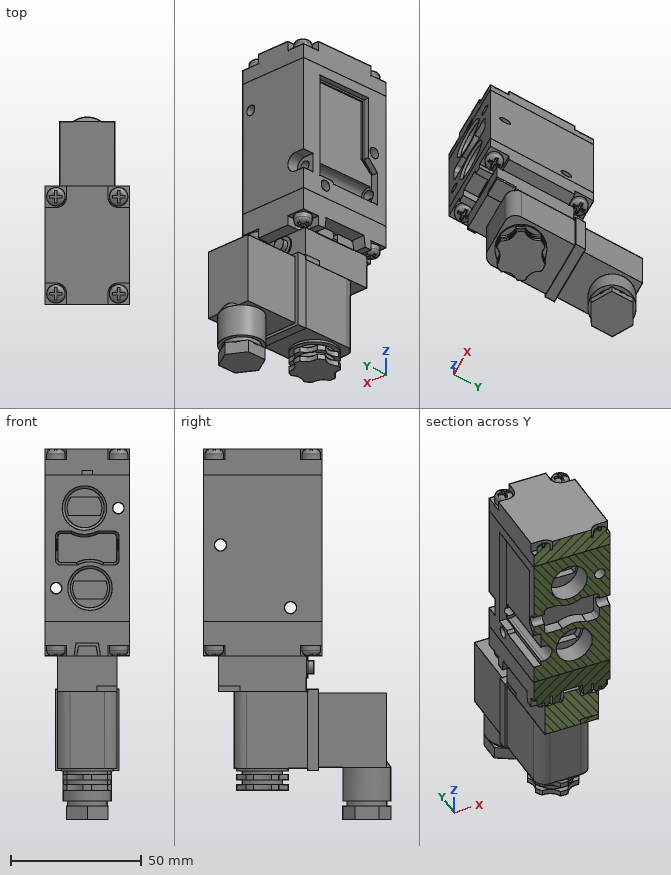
import cadquery as cq
import math


width = 32.5
depth = 45.5
top_z = 142.2
body_top_z = 132.2
body_bottom_z = 76.1
stack_bottom_z = 62.9
left_x = -width / 2

screw_inset_x = 4.3
screw_inset_y = 4.1
pocket_radius = 4.1
pocket_depth = 4.0
head_radius = 3.5
head_edge_radius = 2.0
recess_length = 4.8
recess_width = 1.0
recess_depth = 1.7

key_width = 4.1
key_height = 1.7
key_depth = 0.3

body_mid_z = (body_top_z + body_bottom_z) / 2
port_offset_x = 1.07
port_offset_z = 15.4
port_radius = 7.5
port_chamfer = 1.0
port_depth = 14.2
passage_radius = 6.7
passage_height = 7.0
passage_offset_z = 0.7
passage_depth = 2.8

window_width = 24.5
window_height = 13.1
window_depth = 10.2
window_corner_radius = 2.1
window_draft = 1.0
window_port_clearance = 10.1

pin_hole_radius = 2.1
pin_hole_x = 12.0
cross_hole_radius = 2.3
cross_holes = [(6.5, 105.4), (33.4, 81.3)]

label_depth = 2.5
label_step_depth = 0.5
label_step = 0.9
label_back_y = 36.4
label_front_y = 9.7
label_top_z = 128.0
label_foot_front_y = 4.8
label_bottom_z = 83.6
label_slope_top_z = 102.2
label_slope_bottom_z = 97.4
label_notch_y = 28.7
label_notch_height = 1.1

channel_radius = 3.4
channel_front_y = 5.7
channel_back_y = 35.5
rear_slot_radius = 4.0
rear_slot_y = 40.2

pilot_width = 22.9
pilot_front_y = 5.7
pilot_back_y = 39.5
pilot_bottom_z = 49.0
pilot_mid_y = (pilot_front_y + pilot_back_y) / 2
pilot_side_x = pilot_width / 2

tongue_height = 3.8
tongue_thickness = 2.1
tongue_taper = 0.7
tongue_setback = 0.3
front_tongue_width = 8.1
side_tongue_width = 20.2
notch_gap = 1.0
tongue_slot_width = 2.4
tongue_slot_depth = 2.8

override_z = 58.5
override_radius = 2.5
override_length = 2.8
override_washer_radius = 4.1
override_washer_thickness = 0.5

tab_length = 7.7
tab_thickness = 2.1
tab_height = 2.1

coil_width = 22.8
coil_front_y = 11.8
coil_back_y = 40.0
coil_bottom_z = 19.6
coil_corner_radius = 4.7
flange_width = 24.5
flange_thickness = 4.3
flange_bottom_z = 18.8
flange_top_z = 50.0
plug_width = 21.2
plug_back_y = 70.2
plug_bottom_z = 20.0
plug_top_z = 48.6

gland_radius = 9.2
gland_back_y = 72.0
gland_y = gland_back_y - gland_radius
gland_bottom_z = 7.1
gland_cone_height = 2.5
gland_neck_radius = 7.7
gland_nut_height = 5.1
gland_nut_flats = 16.0

coil_nut_y = 22.6
coil_nut_neck_radius = 7.8
coil_nut_radius = 10.0
coil_nut_hollow_radius = 8.1
coil_nut_lobe_width = 3.3
coil_nut_lobes = 6
coil_nut_bottom_z = 11.2
coil_nut_discs = 2
coil_nut_disc_thickness = 2.1
coil_nut_disc_spacing = 4.0
coil_nut_collar_height = 1.0


def block(x0, x1, y0, y1, z0, z1):
    """Box between two opposite corners."""
    return cq.Workplane("XY").box(x1 - x0, y1 - y0, z1 - z0, centered=False).translate((x0, y0, z0))


def cylinder_y(x, z, radius, y0, y1):
    """Cylinder along Y from y0 to y1."""
    return cq.Workplane("XZ", origin=(x, y0, z)).circle(radius).extrude(y0 - y1)


def cylinder_z(y, radius, z0, z1):
    """Cylinder along Z on the mid-plane."""
    return cq.Workplane("XY", origin=(0, y, z0)).circle(radius).extrude(z1 - z0)


def screw_head():
    """Round screw head standing on Z = 0, with a cross recess."""
    head = cq.Workplane("XY").circle(head_radius).extrude(pocket_depth)
    head = head.faces(">Z").edges().fillet(head_edge_radius)
    cross = cq.Workplane("XY").rect(recess_length, recess_width).extrude(recess_depth)
    cross = cross.union(cross.rotate((0, 0, 0), (0, 0, 1), 90))
    return head.cut(cross.translate((0, 0, pocket_depth - recess_depth)))


def corner_pocket():
    """Screw pocket on Z = 0: round towards the middle and open to the corner at -X, -Y."""
    open_x = block(-screw_inset_x, 0, -screw_inset_y, pocket_radius, 0, pocket_depth)
    open_y = block(-screw_inset_x, pocket_radius, -screw_inset_y, 0, 0, pocket_depth)
    return cq.Workplane("XY").circle(pocket_radius).extrude(pocket_depth).union(open_x).union(open_y)


def place_in_corner(shape, side_x, side_y):
    """Move a shape made for the front left corner to any corner of the stack."""
    if side_x > 0:
        shape = shape.mirror("YZ")
    if side_y > 0:
        shape = shape.mirror("XZ")
    x = side_x * (width / 2 - screw_inset_x)
    y = depth / 2 + side_y * (depth / 2 - screw_inset_y)
    return shape.translate((x, y, 0))


def add_corner_screws(cap, end_z, face_up):
    """Cut the four corner pockets into the outer end of a cap and stand a screw head in each."""
    pocket = corner_pocket()
    head = screw_head()
    if not face_up:
        pocket = pocket.mirror("XY")
        head = head.mirror("XY")
    floor_z = end_z - pocket_depth if face_up else end_z + pocket_depth
    for side_x in (-1, 1):
        for side_y in (-1, 1):
            cap = cap.cut(place_in_corner(pocket, side_x, side_y).translate((0, 0, floor_z)))
            cap = cap.union(place_in_corner(head, side_x, side_y).translate((0, 0, floor_z)))
    return cap


def make_top_cap():
    cap = block(left_x, -left_x, 0, depth, body_top_z, top_z)
    key_top_z = body_top_z + key_height
    cap = cap.cut(block(-key_width / 2, key_width / 2, 0, key_depth, body_top_z, key_top_z))
    return add_corner_screws(cap, top_z, True)


def trapezoid(plane, origin, bottom_width, height, thickness):
    """Upright tapered tongue standing on its origin, extruded along the plane's normal."""
    half_bottom = bottom_width / 2
    half_top = half_bottom - tongue_taper
    points = [(-half_bottom, 0), (half_bottom, 0), (half_top, height), (-half_top, height)]
    return cq.Workplane(plane, origin=origin).polyline(points).close().extrude(thickness)


def make_bottom_cap():
    cap = block(left_x, -left_x, 0, depth, stack_bottom_z, body_bottom_z)
    notch_height = tongue_height + notch_gap
    front_depth = pilot_front_y + tongue_setback + tongue_thickness
    side_depth = width / 2 - pilot_side_x + tongue_setback + tongue_thickness
    front_width = front_tongue_width + 2 * notch_gap
    side_width = side_tongue_width + 2 * notch_gap
    cap = cap.cut(trapezoid("XZ", (0, 0, stack_bottom_z), front_width, notch_height, -front_depth))
    side_origin = (left_x, pilot_mid_y, stack_bottom_z)
    cap = cap.cut(trapezoid("YZ", side_origin, side_width, notch_height, side_depth))
    return add_corner_screws(cap, stack_bottom_z, False)


def window():
    """Recess between the ports, waisted to keep clear of them, narrowing towards its floor."""
    outline = cq.Sketch().rect(window_width, window_height).vertices().fillet(window_corner_radius).reset()
    for side in (-1, 1):
        outline = outline.push([(-side * port_offset_x, side * port_offset_z)])
        outline = outline.circle(window_port_clearance, mode="s").reset()
    draft_angle = math.degrees(math.atan2(window_draft, window_depth))
    recess = cq.Workplane("XZ", origin=(0, 0, body_mid_z)).placeSketch(outline)
    return recess.extrude(-window_depth, taper=draft_angle)


def port(side):
    """Chamfered port with a flat passage in its floor; side is 1 for the upper and -1 for the lower port."""
    x = -side * port_offset_x
    z = body_mid_z + side * port_offset_z
    bore = cylinder_y(x, z, port_radius, 0, port_depth)
    rim_radius = port_radius + port_chamfer
    rim = cq.Workplane("XY").add(cq.Solid.makeCone(
        rim_radius, port_radius, port_chamfer, cq.Vector(x, 0, z), cq.Vector(0, 1, 0)
    ))
    passage_z = z + side * passage_offset_z
    passage_end = port_depth + passage_depth
    passage = block(
        x - passage_radius, x + passage_radius, port_depth, passage_end,
        passage_z - passage_height / 2, passage_z + passage_height / 2,
    )
    passage = passage.intersect(cylinder_y(x, z, passage_radius, port_depth, passage_end))
    return bore.union(rim).union(passage)


def label_outline(step):
    """Outline of the label recess in Y and Z, moved in by a step at its top and upper front."""
    notch_z = label_bottom_z + label_notch_height
    return [
        (label_back_y, label_top_z - step),
        (label_front_y + step, label_top_z - step),
        (label_front_y + step, label_slope_top_z),
        (label_foot_front_y, label_slope_bottom_z),
        (label_foot_front_y, label_bottom_z),
        (label_notch_y, label_bottom_z),
        (label_notch_y + label_notch_height, notch_z),
        (label_back_y, notch_z),
    ]


def label_recess():
    """Recess of the left face, wider at its foot, with a narrow step beside its floor."""
    recess = cq.Workplane("YZ", origin=(left_x, 0, 0)).polyline(label_outline(0)).close().extrude(label_depth)
    floor_depth = label_depth + label_step_depth
    floor = cq.Workplane("YZ", origin=(left_x, 0, 0)).polyline(label_outline(label_step)).close()
    return recess.union(floor.extrude(floor_depth))


def channel(radius, y0, y1):
    """U-shaped channel along Y from the left face to the axis of the left pin hole."""
    z = body_mid_z - port_offset_z
    sides = block(left_x, -pin_hole_x, y0, y1, z - radius, z + radius)
    return cylinder_y(-pin_hole_x, z, radius, y0, y1).union(sides)


def make_valve_body():
    body = block(left_x, -left_x, 0, depth, body_bottom_z, body_top_z)
    body = body.cut(window()).cut(label_recess())
    for side in (-1, 1):
        body = body.cut(port(side))
        hole_z = body_mid_z + side * port_offset_z
        body = body.cut(cylinder_y(side * pin_hole_x, hole_z, pin_hole_radius, 0, depth))
    for y, z in cross_holes:
        body = body.cut(cq.Workplane("YZ", origin=(left_x, y, z)).circle(cross_hole_radius).extrude(width))
    body = body.cut(channel(channel_radius, channel_front_y, channel_back_y))
    return body.cut(channel(rear_slot_radius, rear_slot_y, depth))


def coil_tabs():
    """Two tabs at the front right and rear left lower corners of the pilot block."""
    tab_top_z = pilot_bottom_z + tab_height
    front_tab = block(
        pilot_side_x - tab_length, pilot_side_x,
        pilot_front_y, coil_front_y + tab_thickness, pilot_bottom_z, tab_top_z,
    )
    rear_tab = block(
        -pilot_side_x, -pilot_side_x + tab_thickness,
        pilot_back_y - tab_length, pilot_back_y, pilot_bottom_z, tab_top_z,
    )
    return front_tab.union(rear_tab)


def make_pilot_block():
    pilot = block(-pilot_side_x, pilot_side_x, pilot_front_y, pilot_back_y, pilot_bottom_z, stack_bottom_z)
    front_origin = (0, pilot_front_y + tongue_setback, stack_bottom_z)
    side_origin = (-pilot_side_x + tongue_setback, pilot_mid_y, stack_bottom_z)
    pilot = pilot.union(trapezoid("XZ", front_origin, front_tongue_width, tongue_height, -tongue_thickness))
    pilot = pilot.union(trapezoid("YZ", side_origin, side_tongue_width, tongue_height, tongue_thickness))
    tongue_top_z = stack_bottom_z + tongue_height
    pilot = pilot.cut(block(
        -pilot_side_x, -pilot_side_x + tongue_setback + tongue_thickness,
        pilot_mid_y - tongue_slot_width / 2, pilot_mid_y + tongue_slot_width / 2,
        tongue_top_z - tongue_slot_depth, tongue_top_z,
    ))
    washer_y = pilot_back_y + override_washer_thickness
    pilot = pilot.union(cylinder_y(0, override_z, override_washer_radius, pilot_back_y, washer_y))
    override_y = pilot_back_y + override_length
    pilot = pilot.union(cylinder_y(0, override_z, override_radius, pilot_back_y, override_y))
    return pilot.cut(coil_tabs())


def lobed_disc():
    """Disc with lobes around it, one of them towards -Y, and hollow arcs between them."""
    pitch = 2 * math.pi / coil_nut_lobes
    half_lobe = math.asin(coil_nut_lobe_width / 2 / coil_nut_radius)

    def polar(radius, angle):
        return (radius * math.sin(angle), -radius * math.cos(angle))

    disc = cq.Workplane("XY").moveTo(*polar(coil_nut_radius, -half_lobe))
    for index in range(coil_nut_lobes):
        middle = index * pitch
        disc = disc.threePointArc(
            polar(coil_nut_radius, middle), polar(coil_nut_radius, middle + half_lobe)
        )
        disc = disc.threePointArc(
            polar(coil_nut_hollow_radius, middle + pitch / 2),
            polar(coil_nut_radius, middle + pitch - half_lobe),
        )
    return disc.close().extrude(coil_nut_disc_thickness)


def coil_nut():
    """Nut with two lobed discs on a neck and a plain collar against the coil."""
    collar_bottom_z = coil_bottom_z - coil_nut_collar_height
    nut = cylinder_z(coil_nut_y, coil_nut_neck_radius, coil_nut_bottom_z, coil_bottom_z)
    nut = nut.union(cylinder_z(coil_nut_y, coil_nut_radius, collar_bottom_z, coil_bottom_z))
    for index in range(coil_nut_discs):
        disc_z = coil_nut_bottom_z + index * coil_nut_disc_spacing
        nut = nut.union(lobed_disc().translate((0, coil_nut_y, disc_z)))
    return nut


def cable_gland():
    """Gland barrel with a conical shoulder, a neck and a hexagon nut with corners towards +Y and -Y."""
    barrel = cylinder_z(gland_y, gland_radius, gland_bottom_z, plug_bottom_z)
    shoulder = cq.Workplane("XY").add(cq.Solid.makeCone(
        gland_radius, plug_back_y - gland_y, gland_cone_height, cq.Vector(0, gland_y, plug_bottom_z)
    ))
    neck = cylinder_z(gland_y, gland_neck_radius, gland_nut_height, gland_bottom_z)
    nut_diameter = gland_nut_flats / math.cos(math.pi / 6)
    nut = cq.Workplane("XY").polygon(6, nut_diameter).extrude(gland_nut_height)
    nut = nut.rotate((0, 0, 0), (0, 0, 1), 90).translate((0, gland_y, 0))
    return barrel.union(shoulder).union(neck).union(nut)


def make_solenoid():
    coil = block(-coil_width / 2, coil_width / 2, coil_front_y, coil_back_y, coil_bottom_z, pilot_bottom_z)
    coil = coil.edges("|Z and <Y").fillet(coil_corner_radius)
    flange_back_y = coil_back_y + flange_thickness
    flange = block(
        -flange_width / 2, flange_width / 2, coil_back_y, flange_back_y, flange_bottom_z, flange_top_z
    )
    plug = block(-plug_width / 2, plug_width / 2, flange_back_y, plug_back_y, plug_bottom_z, plug_top_z)
    solenoid = coil.union(flange).union(plug).union(cable_gland()).union(coil_nut())
    return solenoid.union(coil_tabs())


top_cap = make_top_cap()
valve_body = make_valve_body()
bottom_cap = make_bottom_cap()
pilot_block = make_pilot_block()
solenoid = make_solenoid()

result = cq.Compound.makeCompound([
    top_cap.solids().val(),
    valve_body.solids().val(),
    bottom_cap.solids().val(),
    pilot_block.solids().val(),
    solenoid.solids().val(),
])